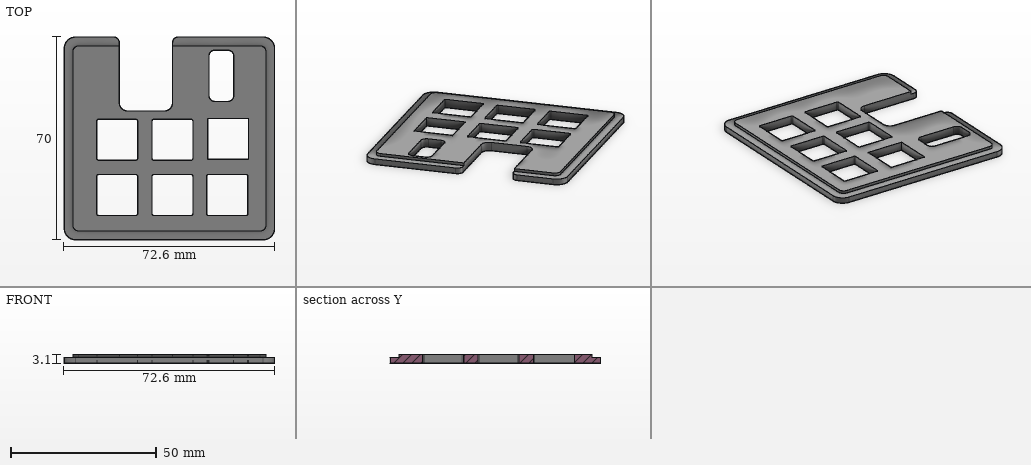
import cadquery as cq

plate_length = 72.6
plate_width = 70.0
plate_thickness = 2.1
plate_corner_radius = 4.0

total_height = 3.1
panel_height = total_height - plate_thickness
panel_inset_x = 3.0
panel_inset_y = 3.1
panel_length = plate_length - 2 * panel_inset_x
panel_width = plate_width - 2 * panel_inset_y
panel_corner_radius = 2.0

notch_width = 18.3
notch_depth = 25.5
notch_center_x = -8.1
notch_bottom_radius = 2.8
notch_mouth_radius = 2.0

slot_length_x = 8.5
slot_length_y = 17.6
slot_center_x = 17.9
slot_center_y = 21.6
slot_corner_radius = 2.0

key_size = 14.0
key_pitch = 19.05
key_corner_radius = 0.5
left_column_x = -18.0
middle_column_x = left_column_x + key_pitch
upper_row_y = -0.45
lower_row_y = upper_row_y - key_pitch

lower_right_key_center = (19.95, lower_row_y)
lower_right_key_radius = 0.3
upper_right_key_center = (20.25, -0.15)


def rounded_block(length, width, height, radius, center=(0, 0), bottom=0):
    """Upright block with rounded vertical edges."""
    block = cq.Workplane("XY", origin=(*center, bottom)).rect(length, width).extrude(height)
    if radius > 0:
        block = block.edges("|Z").fillet(radius)
    return block


def stepped_plate():
    """Base plate with the raised panel on it."""
    plate = rounded_block(plate_length, plate_width, plate_thickness, plate_corner_radius)
    panel = rounded_block(
        panel_length, panel_width, panel_height, panel_corner_radius, bottom=plate_thickness
    )
    return plate.union(panel)


def notch_cutter():
    """Notch with rounded inner corners and a mouth that flares out at the +Y edge."""
    left = notch_center_x - notch_width / 2
    right = notch_center_x + notch_width / 2
    top = plate_width / 2
    bottom = top - notch_depth
    return (
        cq.Workplane("XY")
        .moveTo(left - notch_mouth_radius, top)
        .radiusArc((left, top - notch_mouth_radius), notch_mouth_radius)
        .lineTo(left, bottom + notch_bottom_radius)
        .radiusArc((left + notch_bottom_radius, bottom), -notch_bottom_radius)
        .lineTo(right - notch_bottom_radius, bottom)
        .radiusArc((right, bottom + notch_bottom_radius), -notch_bottom_radius)
        .lineTo(right, top - notch_mouth_radius)
        .radiusArc((right + notch_mouth_radius, top), notch_mouth_radius)
        .close()
        .extrude(total_height)
    )


def slot_cutter():
    """Rounded slot through the full height."""
    center = (slot_center_x, slot_center_y)
    return rounded_block(slot_length_x, slot_length_y, total_height, slot_corner_radius, center)


def key_cutter(center, radius=0):
    """Square key opening through the full height."""
    return rounded_block(key_size, key_size, total_height, radius, center)


result = stepped_plate().cut(notch_cutter()).cut(slot_cutter())
for column_x in (left_column_x, middle_column_x):
    for row_y in (upper_row_y, lower_row_y):
        result = result.cut(key_cutter((column_x, row_y), key_corner_radius))
result = result.cut(key_cutter(lower_right_key_center, lower_right_key_radius))
result = result.cut(key_cutter(upper_right_key_center))